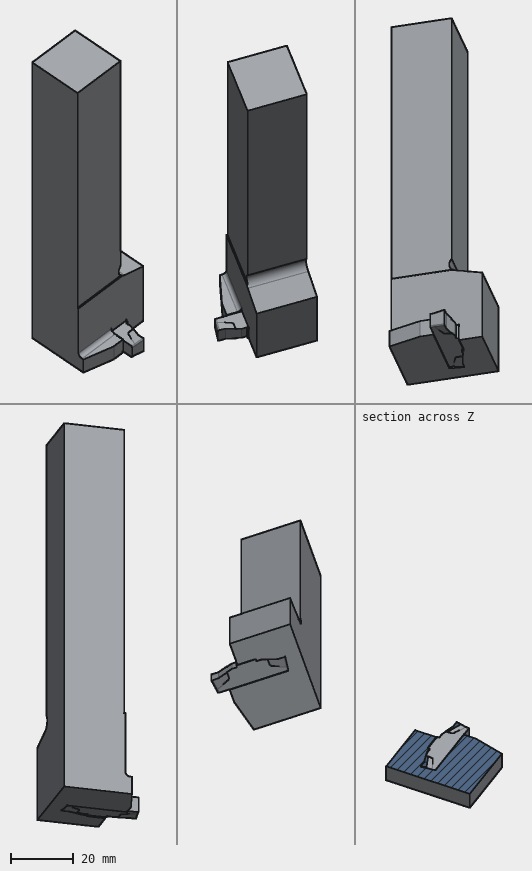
import cadquery as cq
import math


shank_x = 20.0
shank_y = 19.9
tool_length = 125.0
head_x = 20.4
head_y = 30.1
head_side_height = 27.6

head_back_height = 24.75
head_slope = math.radians(15)
notch_radius = 3.0
notch_depth = 0.8

blade_height = 5.96
blade_reach = 25.5
blade_taper_start_y = 10.9
blade_taper = math.radians(15)
blade_root_radius = 1.5

insert_tip_x = 30.04
insert_length = 25.0
insert_body_width = 5.1
insert_seat_y = 15.3
insert_edge_y = 20.15
insert_shoulder_y = 21.65
insert_land_y = 22.4
edge_land = 2.4
shoulder_half_length = 5.1
land_half_length = 3.3
end_relief = math.radians(7)
tip_radius = 0.4

cutting_head_width = 6.04
cutting_head_length = 5.65
cutting_head_bottom_y = 16.3
corner_start_y = 19.3
corner_size = 1.0
flank_relief = 7.0
side_relief = 2.8
clearance_block = 40.0

insert_mid_x = insert_tip_x - insert_length / 2
insert_mid_z = blade_height / 2


def end_x(y):
    """X of the insert's relieved end face at a given Y."""
    return insert_tip_x - (insert_edge_y - y) * math.tan(end_relief)


def top_slope_y(x):
    """Y of the sloping top face between the cutting edge land and the shoulder."""
    slope_start_x = insert_tip_x - edge_land
    slope_end_x = insert_mid_x + shoulder_half_length
    rise = (insert_shoulder_y - insert_edge_y) / (slope_start_x - slope_end_x)
    return insert_edge_y + rise * (slope_start_x - x)


def mirrored_end(part):
    """The same shape at the insert's other end."""
    return part.mirror("YZ", (insert_mid_x, 0, 0))


def extruded_about_mid(outline, width):
    """Extrude a closed XY outline to a width centred on the insert."""
    return outline.extrude(width / 2, both=True).translate((0, 0, insert_mid_z))


def insert_outline():
    """Closed side profile of the insert, the same at both ends."""
    right_half = [
        (end_x(insert_seat_y), insert_seat_y),
        (insert_tip_x, insert_edge_y),
        (insert_tip_x - edge_land, insert_edge_y),
        (insert_mid_x + shoulder_half_length, insert_shoulder_y),
        (insert_mid_x + land_half_length, insert_shoulder_y),
        (insert_mid_x + land_half_length, insert_land_y),
    ]
    left_half = [(2 * insert_mid_x - x, y) for x, y in reversed(right_half)]
    return cq.Workplane("XY").polyline(right_half + left_half).close()


def relief_cutter():
    """Block whose lower face is the relieved +Z flank of the +X cutting head."""
    block = cq.Workplane("XY").box(
        clearance_block, clearance_block, clearance_block, centered=(True, True, False)
    )
    tilted = block.rotate((0, 0, 0), (1, 0, 0), flank_relief).rotate((0, 0, 0), (0, 1, 0), -side_relief)
    return tilted.translate((insert_tip_x, insert_edge_y, insert_mid_z + cutting_head_width / 2))


def make_cutting_head():
    """+X cutting head, widest at the cutting edge and relieved downward and inward."""
    back_x = insert_tip_x - cutting_head_length
    corner_mid = corner_size * (1 - math.sqrt(0.5))
    outline = (
        cq.Workplane("XY")
        .moveTo(end_x(cutting_head_bottom_y), cutting_head_bottom_y)
        .lineTo(insert_tip_x, insert_edge_y)
        .lineTo(insert_tip_x - edge_land, insert_edge_y)
        .lineTo(back_x, top_slope_y(back_x))
        .lineTo(back_x, corner_start_y)
        .threePointArc(
            (back_x + corner_mid, corner_start_y - corner_size + corner_mid),
            (back_x + corner_size, corner_start_y - corner_size),
        )
        .close()
    )
    head = extruded_about_mid(outline, cutting_head_width)
    upper_cutter = relief_cutter()
    lower_cutter = upper_cutter.mirror("XY", (0, 0, insert_mid_z))
    return head.cut(upper_cutter).cut(lower_cutter)


def round_tips(part, end):
    """Round the two side edges of an end face."""
    return part.faces(end).edges("<Z or >Z").fillet(tip_radius)


def make_insert():
    body = extruded_about_mid(insert_outline(), insert_body_width)
    body = round_tips(round_tips(body, ">X"), "<X")
    head = round_tips(make_cutting_head(), ">X")
    return body.union(head).union(mirrored_end(head))


def make_shank_and_head():
    """Bar with the notched head profile in YZ and the head slightly proud of the shank in X."""
    notch_y = shank_y - notch_depth + notch_radius
    slope_end_y = notch_y - notch_radius * math.sin(head_slope)
    slope_end_z = head_back_height + (head_y - slope_end_y) * math.tan(head_slope)
    notch_z = slope_end_z + notch_radius * math.cos(head_slope)
    shank_start_z = notch_z + math.sqrt(notch_radius**2 - (notch_y - shank_y) ** 2)

    profile = (
        cq.Workplane("YZ")
        .lineTo(head_y, 0)
        .lineTo(head_y, head_back_height)
        .lineTo(slope_end_y, slope_end_z)
        .threePointArc((notch_y - notch_radius, notch_z), (shank_y, shank_start_z))
        .lineTo(shank_y, tool_length)
        .lineTo(0, tool_length)
        .close()
    )
    above_head = cq.Workplane("XY").box(head_x - shank_x, head_y, tool_length, centered=False)
    above_head = above_head.translate((shank_x, 0, head_side_height))
    return profile.extrude(head_x).cut(above_head)


def make_blade():
    """Support below the insert seat, tapering toward the front."""
    front_reach = blade_reach - blade_taper_start_y * math.tan(blade_taper)
    return (
        cq.Workplane("XY")
        .lineTo(front_reach, 0)
        .lineTo(blade_reach, blade_taper_start_y)
        .lineTo(blade_reach, insert_seat_y)
        .lineTo(0, insert_seat_y)
        .close()
        .extrude(blade_height)
    )


def make_blade_root():
    """Concave fillet between the top of the blade and the side of the head."""
    return (
        cq.Workplane("XZ", origin=(head_x, 0, blade_height))
        .lineTo(blade_root_radius, 0)
        .radiusArc((0, blade_root_radius), blade_root_radius)
        .close()
        .extrude(-insert_seat_y)
    )


def make_holder():
    """Holder with a recess for the insert, open at the bottom and toward +X."""
    holder = make_shank_and_head().union(make_blade()).union(make_blade_root())
    recess = extruded_about_mid(insert_outline(), cutting_head_width)
    return holder.cut(recess)


holder = make_holder()
insert = make_insert()
result = cq.Compound.makeCompound([holder.solids().val(), insert.solids().val()])